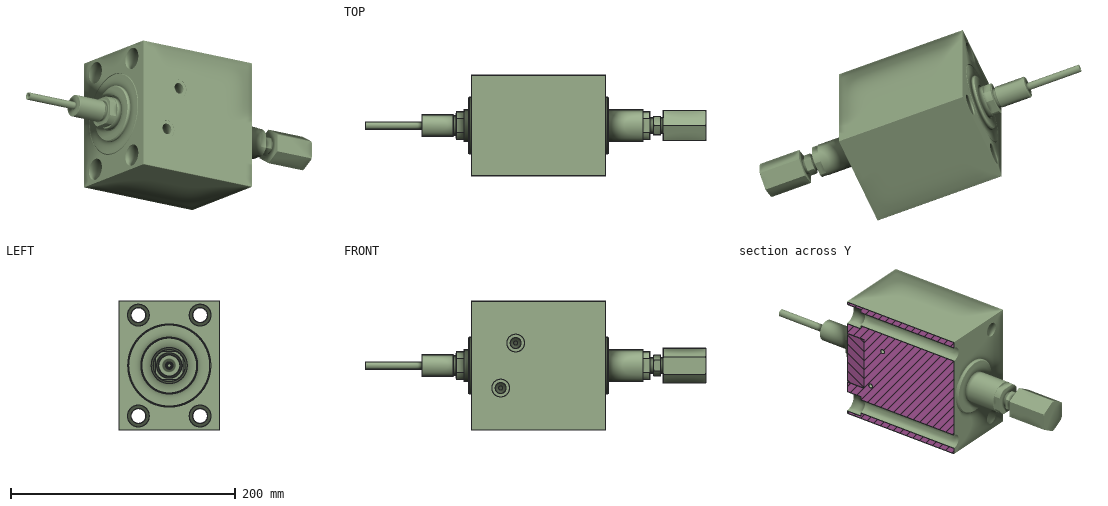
import cadquery as cq
import math


overall_length = 303.7

housing_length = 119.7
housing_width = 90.0
housing_height = 115.0
housing_edge_chamfer = 0.3
bolt_spacing_y = 55.0
bolt_spacing_z = 90.0
bolt_diameter = 13.0
bolt_head_diameter = 19.5
bolt_head_depth = 15.2
port_height = 20.0
port_places = [(39.5, port_height), (26.0, -port_height)]
port_seat_diameter = 15.8
port_seat_depth = 0.3
port_diameter = 9.7
port_depth = 11.0
port_drill_angle = 118
pilot_diameter = 3.5
pilot_length = 9.0

collar_diameter = 50.7
collar_height = 2.7
collar_chamfer = 1.0

gland_diameter = 74.0
gland_depth = 18.2
gland_chamfer = 1.0
wiper_recess_diameter = 32.2
wiper_recess_depth = 1.0

rod_diameter = 28.5
rod_front = -6.5
rod_back = 153.0
flats_diameter = 28.0
flats_width = 25.0
front_flats_length = 7.0
back_flats_length = 6.0
nose_diameter = 22.5
nose_length = 0.3
nose_bevel_length = 0.25
nose_bevel_depth = 1.0

cable_diameter = 6.7
cable_bore = 3.3
cable_length = 50.5
cable_bore_depth = 3.0
cable_bore_chamfer = 1.0
sleeve_diameter = 19.5
sleeve_length = 28.2
sleeve_front_chamfer = 0.3
sleeve_back_chamfer = 0.5
stub_diameter = 17.5

neck_diameter = 14.0
front_neck_length = 3.0
small_hex_width = 16.5
small_hex_length = 6.5
back_neck_length = 2.5
large_hex_width = 27.0
fitting_back = 209.2
hex_chamfer_length = 0.5
hex_chamfer_depth = 1.0

housing_back = housing_length
rod_front_end = rod_front - front_flats_length
nose_front = rod_front_end - nose_length
rod_back_end = rod_back + back_flats_length
cable_front = fitting_back - overall_length
sleeve_front = cable_front + cable_length
sleeve_back = sleeve_front + sleeve_length


def cylinder(diameter, start, end):
    return cq.Workplane("YZ", origin=(start, 0, 0)).circle(diameter / 2).extrude(end - start)


def hexagon(width, start, end, turned_face):
    """Hexagonal bar with two flats facing -Y and +Y, its corners turned down at one end."""
    corner_diameter = width / math.cos(math.pi / 6)
    bar = (
        cq.Workplane("YZ", origin=(start, 0, 0))
        .transformed(rotate=(0, 0, 90))
        .polygon(6, corner_diameter)
        .extrude(end - start)
    )
    turned = cylinder(corner_diameter, start, end)
    turned = turned.faces(turned_face).chamfer(hex_chamfer_length, hex_chamfer_depth)
    return bar.intersect(turned)


def wrench_flats(start, end):
    """Round end of the rod with four flats, facing -Y, +Y, -Z and +Z."""
    length = end - start
    square = cq.Workplane("YZ", origin=(start, 0, 0)).rect(flats_width, flats_width).extrude(length)
    return cylinder(flats_diameter, start, end).intersect(square)


def port_cutter(x, z):
    """Shallow seat, drilled hole with a conical end, and a small pilot hole going deeper."""
    seat_radius = port_seat_diameter / 2
    radius = port_diameter / 2
    pilot_radius = pilot_diameter / 2
    cone_end = port_depth + (radius - pilot_radius) / math.tan(math.radians(port_drill_angle / 2))
    pilot_end = cone_end + pilot_length
    profile = [
        (0, 0),
        (seat_radius, 0),
        (seat_radius, port_seat_depth),
        (radius, port_seat_depth),
        (radius, port_depth),
        (pilot_radius, cone_end),
        (pilot_radius, pilot_end),
        (0, pilot_end),
    ]
    cutter = cq.Workplane("XY").polyline(profile).close().revolve(360, (0, 0, 0), (0, 1, 0))
    return cutter.translate((x, -housing_width / 2, z))


def make_housing():
    block = cq.Workplane("YZ").rect(housing_width, housing_height).extrude(housing_length)
    block = block.edges("|X").chamfer(housing_edge_chamfer)
    collar = cylinder(collar_diameter, housing_back, housing_back + collar_height)
    block = block.union(collar.faces(">X").chamfer(collar_chamfer))
    block = (
        block.faces("<X")
        .workplane(origin=(0, 0, 0))
        .rect(bolt_spacing_y, bolt_spacing_z, forConstruction=True)
        .vertices()
        .cboreHole(bolt_diameter, bolt_head_diameter, bolt_head_depth)
    )
    block = block.cut(cylinder(gland_diameter, 0, gland_depth))
    block = block.cut(cylinder(rod_diameter, 0, housing_back + collar_height))
    for x, z in port_places:
        block = block.cut(port_cutter(x, z))
    return block


def make_gland():
    body = cylinder(gland_diameter, 0, gland_depth).faces("<X").chamfer(gland_chamfer)
    collar = cylinder(collar_diameter, -collar_height, 0).faces("<X").chamfer(collar_chamfer)
    gland = body.union(collar).cut(cylinder(rod_diameter, -collar_height, gland_depth))
    return gland.cut(cylinder(wiper_recess_diameter, -collar_height, wiper_recess_depth - collar_height))


def make_nose():
    """Thin bevelled seat on the front end of the rod, where the sensor rests."""
    nose = cylinder(nose_diameter, nose_front, rod_front_end)
    return nose.faces("<X").chamfer(nose_bevel_length, nose_bevel_depth)


def make_rod():
    rod = cylinder(rod_diameter, rod_front, rod_back)
    rod = rod.union(wrench_flats(rod_front_end, rod_front))
    rod = rod.union(make_nose())
    return rod.union(wrench_flats(rod_back, rod_back_end))


def make_sensor():
    sleeve = cylinder(sleeve_diameter, sleeve_front, sleeve_back)
    sleeve = sleeve.faces("<X").chamfer(sleeve_front_chamfer).faces(">X").chamfer(sleeve_back_chamfer)
    stub = cylinder(stub_diameter, sleeve_back, nose_front)
    cable = cylinder(cable_diameter, cable_front, sleeve_front)
    cable = cable.cut(cylinder(cable_bore, cable_front, cable_front + cable_bore_depth))
    cable = cable.faces("<X").edges(cq.selectors.RadiusNthSelector(0)).chamfer(cable_bore_chamfer)
    return sleeve.union(stub).union(cable)


def make_fitting():
    small_hex_front = rod_back_end + front_neck_length
    small_hex_back = small_hex_front + small_hex_length
    large_hex_front = small_hex_back + back_neck_length
    neck = cylinder(neck_diameter, rod_back_end, large_hex_front)
    small_hex = hexagon(small_hex_width, small_hex_front, small_hex_back, "<X")
    large_hex = hexagon(large_hex_width, large_hex_front, fitting_back, ">X")
    return neck.union(small_hex).union(large_hex)


housing = make_housing()
gland = make_gland()
rod = make_rod()
sensor = make_sensor()
fitting = make_fitting()

result = cq.Compound.makeCompound(
    [housing.val(), gland.val(), rod.val(), sensor.val(), fitting.val()]
)